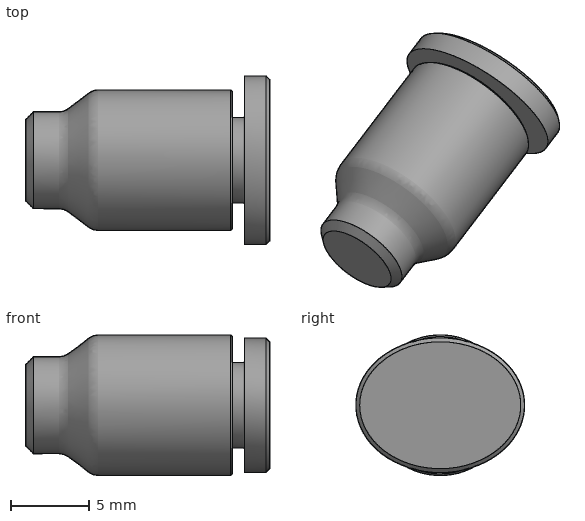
import cadquery as cq

total_length = 15.6
cone_start = 2.46
cone_end = 4.3
body_end = 13.21
head_start = 13.98

nose_radius = 3.1
body_diameter = 9.0
body_radius = body_diameter / 2
neck_radius = 2.75

head_half_width = 5.4
head_half_height = 4.3
head_thickness = total_length - head_start

nose_chamfer = 0.5
cone_blend_radius = 1.0
body_end_chamfer = 0.11
head_chamfer = 0.25
neck_fillet = 0.06


def edge_at(x):
    """Select the circular edges whose centre lies at position x."""
    tolerance = 0.002
    return cq.selectors.BoxSelector(
        (x - tolerance, -body_radius, -body_radius),
        (x + tolerance, body_radius, body_radius),
    )


def make_plug():
    """Turned nose, blended cone and cylindrical body."""
    plug = (
        cq.Workplane("XY")
        .lineTo(0, nose_radius)
        .lineTo(cone_start, nose_radius)
        .lineTo(cone_end, body_radius)
        .lineTo(body_end, body_radius)
        .lineTo(body_end, 0)
        .close()
        .revolve(360, (0, 0, 0), (1, 0, 0))
    )
    plug = plug.edges(edge_at(cone_start)).fillet(cone_blend_radius)
    plug = plug.edges(edge_at(cone_end)).fillet(cone_blend_radius)
    plug = plug.faces("<X").edges().chamfer(nose_chamfer)
    return plug.faces(">X").edges().chamfer(body_end_chamfer)


def make_head():
    """Oval head, chamfered around its outer end, with the filleted neck in front."""
    head = (
        cq.Workplane("YZ", origin=(head_start, 0, 0))
        .ellipse(head_half_width, head_half_height)
        .extrude(head_thickness)
        .faces(">X")
        .edges()
        .chamfer(head_chamfer)
    )
    neck = (
        cq.Workplane("YZ", origin=(body_end, 0, 0))
        .circle(neck_radius)
        .extrude(head_start - body_end)
    )
    return head.union(neck).edges(edge_at(head_start)).edges("%CIRCLE").fillet(neck_fillet)


result = make_plug().union(make_head())